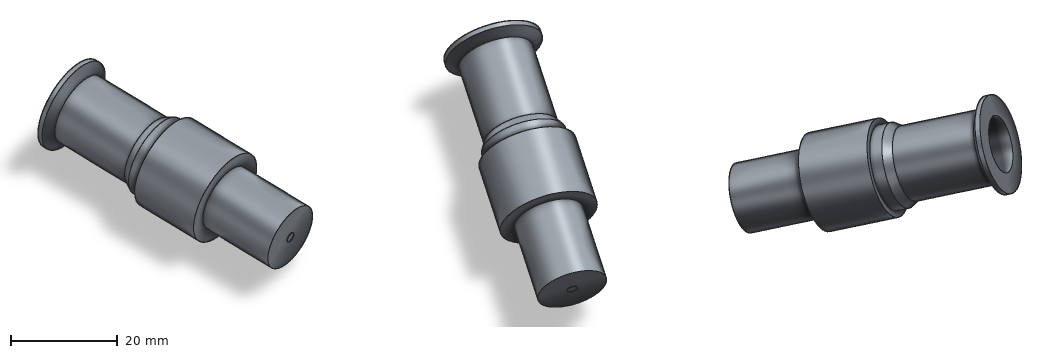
import cadquery as cq
import math

flange_dia = 19.0
neck_dia = 14.5
shoulder_dia = 16.5
collar_dia = 19.0
spigot_dia = 13.46

overall_length = 53.0
flange_rim_end = 1.0
shoulder_cone_start = 19.0
collar_start = 23.2
collar_end = 37.3

cone_angle = math.radians(30.0)
flange_cone_length = (flange_dia - neck_dia) / 2 * math.tan(cone_angle)
shoulder_cone_length = (shoulder_dia - neck_dia) / 2 / math.tan(cone_angle)
shoulder_start = shoulder_cone_start + shoulder_cone_length

tip_dia = 2.0
tip_height = 0.1
spigot_end = overall_length - tip_height

bore_dia = 11.0
bore_depth = 20.0
bore_point_angle = math.radians(118.0)
bore_point_length = bore_dia / 2 / math.tan(bore_point_angle / 2)


def revolve_about_x(points):
    """Turn a closed (x, radius) outline around the X axis."""
    return (
        cq.Workplane("XY")
        .polyline(points)
        .close()
        .revolve(axisStart=(0, 0, 0), axisEnd=(1, 0, 0))
    )


def make_body():
    """Solid flange, neck, shoulder, collar, spigot and tip."""
    return revolve_about_x([
        (0, 0),
        (0, flange_dia / 2),
        (flange_rim_end, flange_dia / 2),
        (flange_rim_end + flange_cone_length, neck_dia / 2),
        (shoulder_cone_start, neck_dia / 2),
        (shoulder_start, shoulder_dia / 2),
        (collar_start, shoulder_dia / 2),
        (collar_start, collar_dia / 2),
        (collar_end, collar_dia / 2),
        (collar_end, spigot_dia / 2),
        (spigot_end, spigot_dia / 2),
        (spigot_end, tip_dia / 2),
        (overall_length, tip_dia / 2),
        (overall_length, 0),
    ])


def make_bore():
    """Cylinder with a drill-point bottom, to be removed from the body."""
    return revolve_about_x([
        (0, 0),
        (0, bore_dia / 2),
        (bore_depth, bore_dia / 2),
        (bore_depth + bore_point_length, 0),
    ])


result = make_body().cut(make_bore())